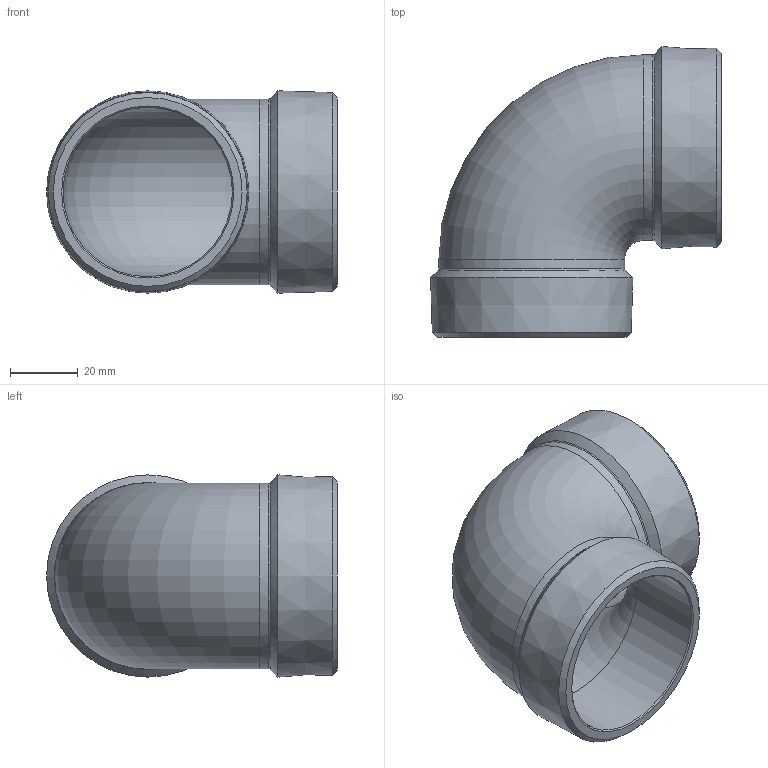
import cadquery as cq

CENTRE_TO_END = 56.0
BEND_RADIUS = 33.0
TUBE_RADIUS = 27.4
BORE_RADIUS = 25.0
LEG_LENGTH = CENTRE_TO_END - BEND_RADIUS

COLLAR_RADIUS = 59.71 / 2
TAPER_PER_SIDE = 1 / 32
END_CHAMFER = 1.5
SHOULDER_FOOT = 20.0
SHOULDER_HEIGHT = COLLAR_RADIUS - TUBE_RADIUS
SHOULDER_TOP = SHOULDER_FOOT - SHOULDER_HEIGHT
SHOULDER_FILLET = 0.6
TIP_RADIUS = COLLAR_RADIUS - TAPER_PER_SIDE * (SHOULDER_TOP - END_CHAMFER)

MOUTH_CHAMFER = 0.4


def leg_body():
    """Solid leg along +Z with its open end at z = 0 and the bend side at LEG_LENGTH."""
    profile = (
        cq.Workplane("XZ")
        .moveTo(0, 0)
        .lineTo(TIP_RADIUS - END_CHAMFER, 0)
        .lineTo(TIP_RADIUS, END_CHAMFER)
        .lineTo(COLLAR_RADIUS, SHOULDER_TOP)
        .lineTo(TUBE_RADIUS, SHOULDER_FOOT)
        .lineTo(TUBE_RADIUS, LEG_LENGTH)
        .lineTo(0, LEG_LENGTH)
        .close()
    )
    body = profile.revolve(360, (0, 0, 0), (0, 1, 0))
    reach = COLLAR_RADIUS
    foot_edge = cq.selectors.BoxSelector(
        (-reach, -reach, SHOULDER_FOOT - SHOULDER_FILLET),
        (reach, reach, SHOULDER_FOOT + SHOULDER_FILLET),
        boundingbox=True,
    )
    return body.edges(foot_edge).fillet(SHOULDER_FILLET)


def leg_bore():
    """Bore of one leg, chamfered at the open end."""
    return (
        cq.Workplane("XZ")
        .moveTo(0, 0)
        .lineTo(BORE_RADIUS + MOUTH_CHAMFER, 0)
        .lineTo(BORE_RADIUS, MOUTH_CHAMFER)
        .lineTo(BORE_RADIUS, LEG_LENGTH)
        .lineTo(0, LEG_LENGTH)
        .close()
        .revolve(360, (0, 0, 0), (0, 1, 0))
    )


def bend(radius):
    """Quarter-torus of the given tube radius joining the two legs."""
    return (
        cq.Workplane("XZ", origin=(0, -BEND_RADIUS, 0))
        .circle(radius)
        .revolve(90, (BEND_RADIUS, 0, 0), (BEND_RADIUS, -1, 0))
    )


def on_both_legs(leg):
    """Union of a leg shape placed at the -Y end and at the +X end."""
    y_leg = leg.rotate((0, 0, 0), (1, 0, 0), -90).translate((0, -CENTRE_TO_END, 0))
    x_leg = leg.rotate((0, 0, 0), (0, 1, 0), -90).translate((CENTRE_TO_END, 0, 0))
    return y_leg.union(x_leg)


outside = bend(TUBE_RADIUS).union(on_both_legs(leg_body()))
inside = bend(BORE_RADIUS).union(on_both_legs(leg_bore()))
result = outside.cut(inside)